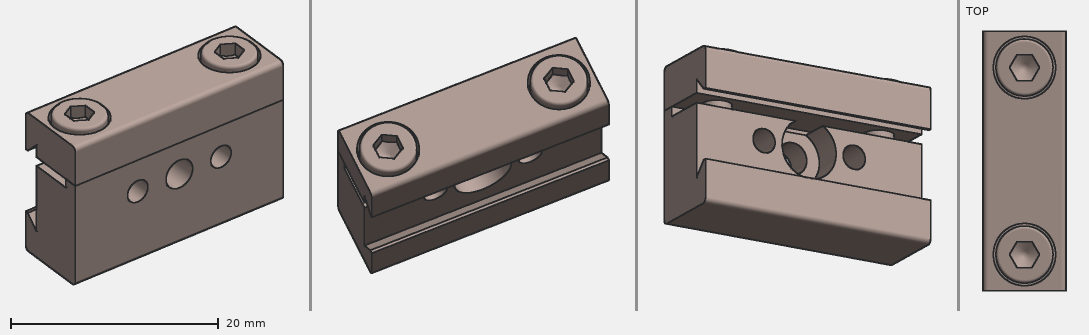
import cadquery as cq
import math

LENGTH = 25.0
WIDTH = 8.0
BLOCK_HEIGHT = 16.0
EDGE_RADIUS = 0.5

JAW_HEIGHT = 4.4
GROOVE_DEPTH = 1.75
UNDERCUT = 1.4
JAW_TIP = GROOVE_DEPTH - UNDERCUT
SPLIT_Z = BLOCK_HEIGHT - JAW_HEIGHT

GAP_HEIGHT = 1.0
LIP_WIDTH = 1.5
SHOULDER_Z = SPLIT_Z - GAP_HEIGHT

CROSS_HOLE_Z = BLOCK_HEIGHT / 2
CENTRE_HOLE_DIAMETER = 3.2
COUNTERBORE_DIAMETER = 6.0
COUNTERBORE_DEPTH = 3.25
SIDE_HOLE_DIAMETER = 2.45
SIDE_HOLE_OFFSET = 5.0

SCREW_OFFSET = 9.0
SCREW_X = WIDTH / 2
SHANK_DIAMETER = 3.0
SHANK_LENGTH = 8.0
HEAD_DIAMETER = 5.5
HEAD_HEIGHT = 3.0
HEAD_PROJECTION = 0.5
HEAD_FILLET = 0.3
HEAD_RECESS_DIAMETER = 6.0
SOCKET_FLATS = 2.5
SOCKET_DEPTH = 1.3
SOCKET_CONE_ANGLE = 120.0
SCREW_TOP_Z = BLOCK_HEIGHT + HEAD_PROJECTION
HEAD_SEAT_Z = SCREW_TOP_Z - HEAD_HEIGHT
SHANK_END_Z = HEAD_SEAT_Z - SHANK_LENGTH
SCREW_POSITIONS = [(SCREW_X, side * SCREW_OFFSET) for side in (-1, 1)]


def extrude_profile(points):
    """Extrude an XZ outline along the full length, centred on Y = 0."""
    return cq.Workplane("XZ").polyline(points).close().extrude(LENGTH / 2, both=True)


def vertical_cylinder(diameter, bottom, top, x=0, y=0):
    return cq.Workplane("XY", origin=(x, y, bottom)).circle(diameter / 2).extrude(top - bottom)


def cross_cylinder(diameter, y, depth):
    """Cylinder along X, starting at the groove floor."""
    origin = (GROOVE_DEPTH, y, CROSS_HOLE_Z)
    return cq.Workplane("YZ", origin=origin).circle(diameter / 2).extrude(depth)


def make_base():
    body = extrude_profile([
        (0, 0),
        (WIDTH, 0),
        (WIDTH, SPLIT_Z),
        (WIDTH - LIP_WIDTH, SPLIT_Z),
        (WIDTH - LIP_WIDTH, SHOULDER_Z),
        (GROOVE_DEPTH, SHOULDER_Z),
        (GROOVE_DEPTH, JAW_HEIGHT - UNDERCUT),
        (JAW_TIP, JAW_HEIGHT),
        (0, JAW_HEIGHT),
    ])
    body = body.faces("<Z").edges("|Y").fillet(EDGE_RADIUS)

    through_depth = WIDTH - GROOVE_DEPTH
    body = body.cut(cross_cylinder(CENTRE_HOLE_DIAMETER, 0, through_depth))
    body = body.cut(cross_cylinder(COUNTERBORE_DIAMETER, 0, COUNTERBORE_DEPTH))
    for side in (-1, 1):
        body = body.cut(cross_cylinder(SIDE_HOLE_DIAMETER, side * SIDE_HOLE_OFFSET, through_depth))

    for x, y in SCREW_POSITIONS:
        body = body.cut(vertical_cylinder(SHANK_DIAMETER, SHANK_END_Z, SHOULDER_Z, x, y))
    return body


def make_clamp_jaw():
    body = extrude_profile([
        (0, SPLIT_Z),
        (JAW_TIP, SPLIT_Z),
        (GROOVE_DEPTH, SPLIT_Z + UNDERCUT),
        (GROOVE_DEPTH, SPLIT_Z),
        (WIDTH, SPLIT_Z),
        (WIDTH, BLOCK_HEIGHT),
        (0, BLOCK_HEIGHT),
    ])
    body = body.faces(">Z").edges("|Y").fillet(EDGE_RADIUS)

    for x, y in SCREW_POSITIONS:
        body = body.cut(vertical_cylinder(SHANK_DIAMETER, SPLIT_Z, HEAD_SEAT_Z, x, y))
        body = body.cut(vertical_cylinder(HEAD_RECESS_DIAMETER, HEAD_SEAT_Z, BLOCK_HEIGHT, x, y))
    return body


def make_socket_cutter():
    """Hexagonal socket, with corners along X, whose floor is a cone reaching out to the corners."""
    corner_radius = SOCKET_FLATS / 2 / math.cos(math.pi / 6)
    cone_depth = corner_radius / math.tan(math.radians(SOCKET_CONE_ANGLE / 2))
    rim_z = SCREW_TOP_Z - SOCKET_DEPTH
    tip_z = rim_z - cone_depth
    hexagon = (
        cq.Workplane("XY", origin=(0, 0, tip_z))
        .polygon(6, 2 * corner_radius)
        .extrude(SCREW_TOP_Z - tip_z)
    )
    pointed_cylinder = (
        cq.Workplane("XZ")
        .polyline([(0, tip_z), (corner_radius, rim_z), (corner_radius, SCREW_TOP_Z), (0, SCREW_TOP_Z)])
        .close()
        .revolve(360, (0, 0, 0), (0, 1, 0))
    )
    return hexagon.intersect(pointed_cylinder)


def make_screw(x, y):
    head = vertical_cylinder(HEAD_DIAMETER, HEAD_SEAT_Z, SCREW_TOP_Z)
    head = head.faces(">Z").edges().fillet(HEAD_FILLET)
    shank = vertical_cylinder(SHANK_DIAMETER, SHANK_END_Z, HEAD_SEAT_Z)
    return head.union(shank).cut(make_socket_cutter()).translate((x, y, 0))


base = make_base()
clamp_jaw = make_clamp_jaw()
screws = [make_screw(x, y) for x, y in SCREW_POSITIONS]

result = cq.Compound.makeCompound([base.val(), clamp_jaw.val(), *[screw.val() for screw in screws]])